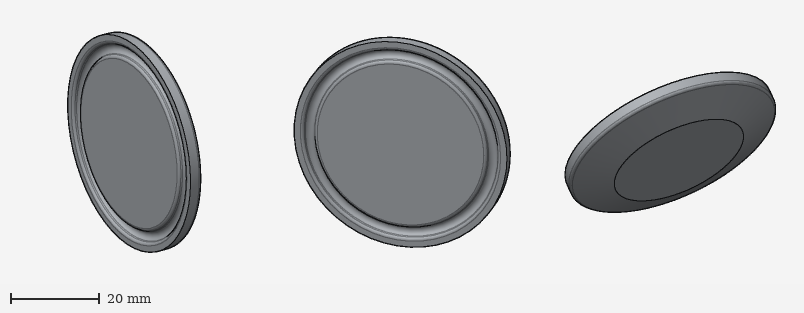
import cadquery as cq
import math

outer_diameter = 50.5
thickness = 6.35

back_face_radius = 15.8
taper_angle = math.radians(20)
rim_edge_radius = 0.8

groove_center_radius = 21.75
groove_width = 4.0
wall_angle = math.radians(70)
lip_radius = 0.8
groove_bottom_radius = 1.19

outer_radius = outer_diameter / 2
half_groove = groove_width / 2

taper_corner_depth = thickness - (outer_radius - back_face_radius) * math.tan(taper_angle)


def lip_offset(angle):
    """Offset across the groove and depth on a lip, at an angle turned from the front face."""
    across = half_groove - lip_radius * math.sin(angle)
    depth = lip_radius * (1 - math.cos(angle))
    return across, depth


def groove_point(side, across, depth):
    """Groove profile point: side is -1 towards the central disc, 1 towards the rim."""
    return (groove_center_radius + side * across, depth)


wall_top_across, wall_top_depth = lip_offset(wall_angle)
lip_middle_across, lip_middle_depth = lip_offset(wall_angle / 2)
wall_bottom_across = groove_bottom_radius * math.sin(wall_angle)
wall_drop = (wall_top_across - wall_bottom_across) * math.tan(wall_angle)
wall_bottom_depth = wall_top_depth + wall_drop
groove_depth = wall_bottom_depth + groove_bottom_radius * (1 - math.cos(wall_angle))


def make_blank():
    """Tapered disc turned around the Y axis, with its front face at Y = 0."""
    profile = (
        cq.Workplane("XY")
        .lineTo(outer_radius, 0)
        .lineTo(outer_radius, taper_corner_depth)
        .lineTo(back_face_radius, thickness)
        .lineTo(0, thickness)
        .close()
    )
    return profile.revolve(360, (0, 0, 0), (0, 1, 0))


def round_rim_edge(body):
    """Round the edge where the rim meets the tapered back."""
    corner = (0, taper_corner_depth, outer_radius)
    return body.edges(cq.selectors.NearestToPointSelector(corner)).fillet(rim_edge_radius)


def make_groove():
    """Ring removed by the gasket groove, with rounded lips and a round bottom."""
    inner = -1
    outer = 1
    profile = (
        cq.Workplane("XY")
        .moveTo(*groove_point(inner, half_groove, 0))
        .threePointArc(
            groove_point(inner, lip_middle_across, lip_middle_depth),
            groove_point(inner, wall_top_across, wall_top_depth),
        )
        .lineTo(*groove_point(inner, wall_bottom_across, wall_bottom_depth))
        .threePointArc(
            (groove_center_radius, groove_depth),
            groove_point(outer, wall_bottom_across, wall_bottom_depth),
        )
        .lineTo(*groove_point(outer, wall_top_across, wall_top_depth))
        .threePointArc(
            groove_point(outer, lip_middle_across, lip_middle_depth),
            groove_point(outer, half_groove, 0),
        )
        .close()
    )
    return profile.revolve(360, (0, 0, 0), (0, 1, 0))


result = round_rim_edge(make_blank()).cut(make_groove())